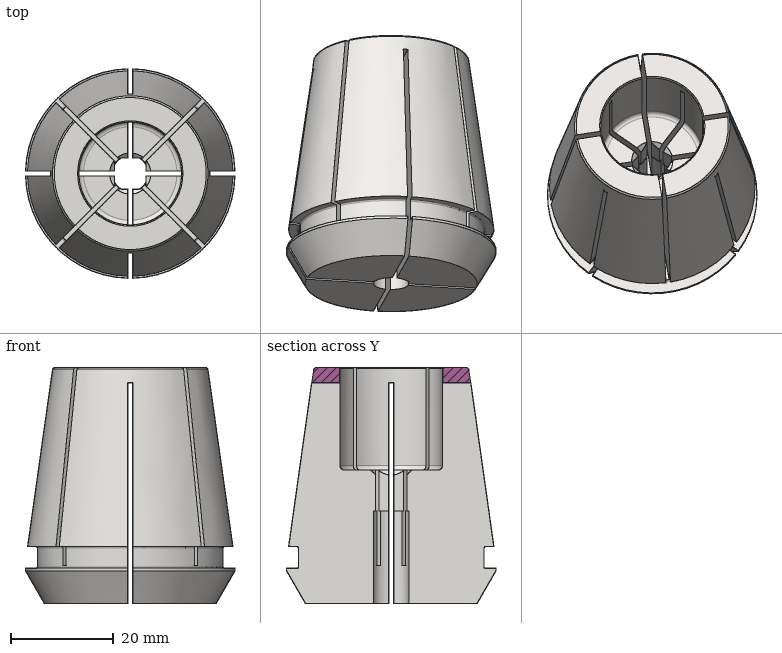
import cadquery as cq
import math

LENGTH = 46.0
COLLAR_RADIUS = 20.4
COLLAR_BAND = 0.5
COLLAR_TOP = 6.9
NOSE_ANGLE = 30.0

GROOVE_RADIUS = 18.1
GROOVE_TOP = 11.1
GROOVE_FILLET = 0.25

TAPER_BASE_RADIUS = 20.0
TAPER_HALF_ANGLE = 8.0
TOP_OUTER_CHAMFER = 0.3

BORE_RADIUS = 3.5
BORE_DEPTH = 18.0
SQUARE_SIDE = 6.04
SQUARE_COUNTERSINK_RADIUS = 4.0
RELIEF_RADIUS = 10.0
RELIEF_FLOOR = 26.0
RELIEF_FLOOR_FILLET = 0.9
RELIEF_RIM_CHAMFER = 0.25

SLOT_WIDTH = 0.9
FRONT_SLOT_TOP = 43.0
REAR_SLOT_FLOOR = 7.4
CROSS_ANGLES = (0.0, 90.0)
REAR_CROSS_OFFSET = 45.0
SLOT_OVERHANG = 5.0
SLOT_LENGTH = 2 * (COLLAR_RADIUS + SLOT_OVERHANG)


def make_body():
    """Revolve the outer profile: nose cone, collar, groove and taper."""
    nose_top_z = COLLAR_TOP - COLLAR_BAND
    nose_bottom_radius = COLLAR_RADIUS - nose_top_z * math.tan(math.radians(NOSE_ANGLE))
    taper_slope = math.tan(math.radians(TAPER_HALF_ANGLE))
    rear_radius = TAPER_BASE_RADIUS - (LENGTH - GROOVE_TOP) * taper_slope
    chamfer_z = LENGTH - TOP_OUTER_CHAMFER
    chamfer_radius = rear_radius + TOP_OUTER_CHAMFER * taper_slope
    fillet_mid = GROOVE_FILLET * (1 - math.sqrt(0.5))
    fillet_radius = GROOVE_RADIUS + GROOVE_FILLET
    arc_radius = GROOVE_RADIUS + fillet_mid
    return (
        cq.Workplane("XZ")
        .lineTo(nose_bottom_radius, 0)
        .lineTo(COLLAR_RADIUS, nose_top_z)
        .lineTo(COLLAR_RADIUS, COLLAR_TOP)
        .lineTo(fillet_radius, COLLAR_TOP)
        .threePointArc((arc_radius, COLLAR_TOP + fillet_mid), (GROOVE_RADIUS, COLLAR_TOP + GROOVE_FILLET))
        .lineTo(GROOVE_RADIUS, GROOVE_TOP - GROOVE_FILLET)
        .threePointArc((arc_radius, GROOVE_TOP - fillet_mid), (fillet_radius, GROOVE_TOP))
        .lineTo(TAPER_BASE_RADIUS, GROOVE_TOP)
        .lineTo(chamfer_radius, chamfer_z)
        .lineTo(rear_radius - TOP_OUTER_CHAMFER, LENGTH)
        .lineTo(0, LENGTH)
        .close()
        .revolve(360, (0, 0), (0, 1))
    )


def make_nose_bore():
    """Round bore from the nose face."""
    return cq.Workplane("XY").circle(BORE_RADIUS).extrude(BORE_DEPTH)


def make_square_bore():
    """Square bore between the round bore and the relief floor."""
    depth = RELIEF_FLOOR - BORE_DEPTH
    return cq.Workplane("XY", origin=(0, 0, BORE_DEPTH)).rect(SQUARE_SIDE, SQUARE_SIDE).extrude(depth)


def make_square_countersink():
    """45 degree cone that opens the square bore at the relief floor."""
    return (
        cq.Workplane("XZ")
        .moveTo(0, RELIEF_FLOOR - SQUARE_COUNTERSINK_RADIUS)
        .lineTo(SQUARE_COUNTERSINK_RADIUS, RELIEF_FLOOR)
        .lineTo(0, RELIEF_FLOOR)
        .close()
        .revolve(360, (0, 0), (0, 1))
    )


def make_relief():
    """Wide rear bore with a rounded floor corner and a chamfered rim."""
    fillet_mid = RELIEF_FLOOR_FILLET * (1 - math.sqrt(0.5))
    return (
        cq.Workplane("XZ")
        .moveTo(0, RELIEF_FLOOR)
        .lineTo(RELIEF_RADIUS - RELIEF_FLOOR_FILLET, RELIEF_FLOOR)
        .threePointArc(
            (RELIEF_RADIUS - fillet_mid, RELIEF_FLOOR + fillet_mid),
            (RELIEF_RADIUS, RELIEF_FLOOR + RELIEF_FLOOR_FILLET),
        )
        .lineTo(RELIEF_RADIUS, LENGTH - RELIEF_RIM_CHAMFER)
        .lineTo(RELIEF_RADIUS + RELIEF_RIM_CHAMFER, LENGTH)
        .lineTo(0, LENGTH)
        .close()
        .revolve(360, (0, 0), (0, 1))
    )


def make_slot(angle, bottom, top):
    """Slab through the axis that cuts two opposite slots at the given angle."""
    slab = cq.Workplane("XY").box(SLOT_LENGTH, SLOT_WIDTH, top - bottom, centered=(True, True, False))
    return slab.translate((0, 0, bottom)).rotate((0, 0, 0), (0, 0, 1), angle)


result = make_body()
result = result.cut(make_nose_bore())
result = result.cut(make_square_bore())
result = result.cut(make_square_countersink())
result = result.cut(make_relief())
for cross_angle in CROSS_ANGLES:
    result = result.cut(make_slot(cross_angle, 0, FRONT_SLOT_TOP))
    result = result.cut(make_slot(cross_angle + REAR_CROSS_OFFSET, REAR_SLOT_FLOOR, LENGTH))